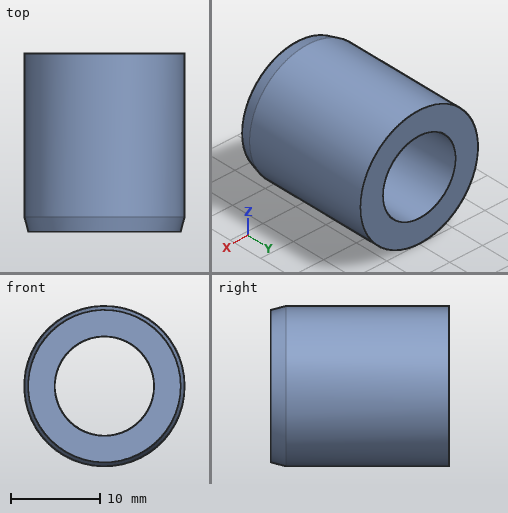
import cadquery as cq
import math

length = 20.0
outer_diameter = 18.0
bore_diameter = 11.1
taper_length = 1.7
taper_angle = 15.0

outer_radius = outer_diameter / 2
bore_radius = bore_diameter / 2
lead_radius = outer_radius - taper_length * math.tan(math.radians(taper_angle))

wall_section = (
    cq.Workplane("XY")
    .moveTo(bore_radius, 0)
    .lineTo(lead_radius, 0)
    .lineTo(outer_radius, taper_length)
    .lineTo(outer_radius, length)
    .lineTo(bore_radius, length)
    .close()
)

result = wall_section.revolve(360, (0, 0, 0), (0, 1, 0))